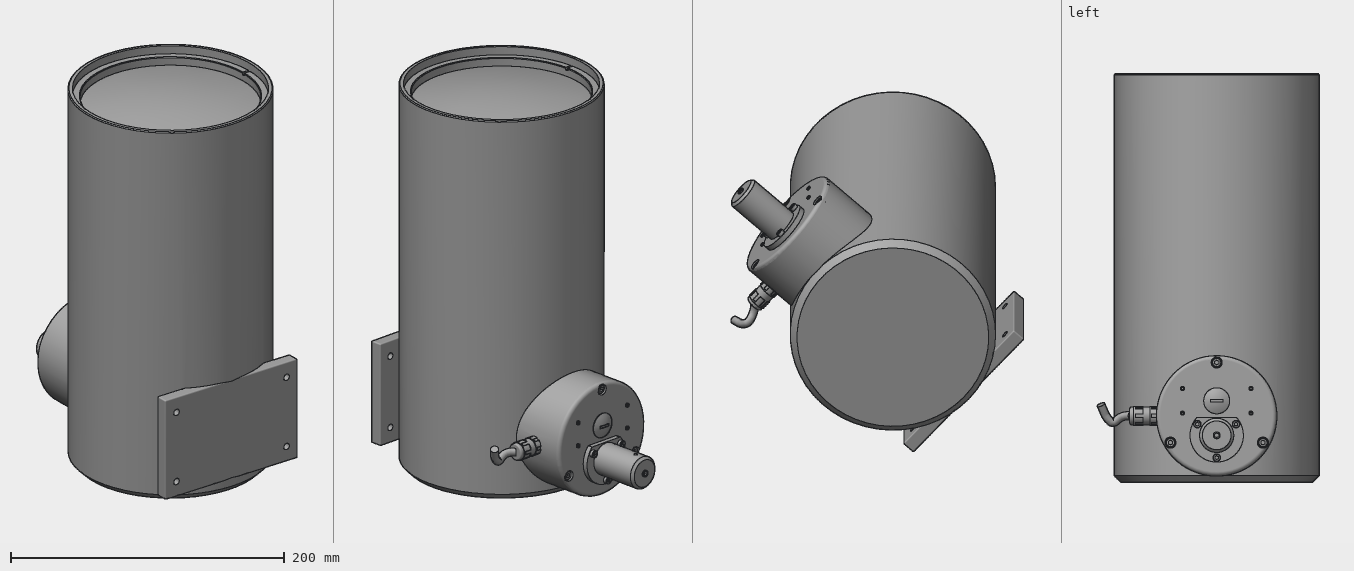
import cadquery as cq
import math

BLEND = 1.0
HEX_SIDES = 6

BODY_DIAMETER = 150.0
BODY_HEIGHT = 298.5
BODY_RADIUS = BODY_DIAMETER / 2
OVERALL_LENGTH = 225.74
BASE_CHAMFER = 5.0
RIM_CHAMFER = 0.8

RIM_BORE_DIAMETER = 143.19
RIM_BORE_DEPTH = 6.4
LENS_DIAMETER = 132.0
LENS_EDGE_DEPTH = 13.0
LENS_RISE = 7.0
RING_EDGE_CHAMFER = 0.6
RING_GAP_WIDTH = 2.0
RING_GAP_DEPTH = 2.0

PLATE_THICKNESS = 10.0
PLATE_WIDTH = 120.0
PLATE_HEIGHT = 80.0
PLATE_BOTTOM = 11.0
PLATE_EDGE_FILLET = 1.0
PLATE_HOLE_DIAMETER = 5.0
PLATE_HOLE_SPACING_Y = 100.0
PLATE_HOLE_SPACING_Z = 56.0

HOUSING_DIAMETER = 88.0
HOUSING_RADIUS = HOUSING_DIAMETER / 2
HOUSING_Z = 48.6
HOUSING_FACE_X = -105.5
HOUSING_FILLET = 3.0

COVER_SCREW_COUNT = 3
COVER_SCREW_CIRCLE_RADIUS = 39.0
COVER_BORE_DIAMETER = 8.0
COVER_BORE_DEPTH = 5.0
COVER_HEAD_DIAMETER = 7.0
COVER_HEAD_HEIGHT = 4.0
COVER_HEAD_CHAMFER = 0.5
COVER_SOCKET_FLATS = 3.0
COVER_SOCKET_DEPTH = 2.0

STUD_DIAMETER = 3.0
STUD_HEIGHT = 1.0
STUD_BORE_DIAMETER = 1.57
STUD_Y = 25.0
STUD_HEIGHTS_ABOVE_CENTRE = (2.0, 20.0)

BUTTON_DIAMETER = 19.0
BUTTON_HEIGHT = 3.0
BUTTON_RIM_HEIGHT = 0.5
BUTTON_RISE_ABOVE_CENTRE = 11.0
BUTTON_SLOT_LENGTH = 9.0
BUTTON_SLOT_WIDTH = 1.8
BUTTON_SLOT_DEPTH = 1.0

DRIVE_Z = HOUSING_Z - 14.2
FLANGE_RADIUS = 19.5
FLANGE_THICKNESS = 4.0
FLANGE_FLAT_HEIGHT = 13.2
BARREL_DIAMETER = 25.0
BARREL_END_X = -149.7
BARREL_CHAMFER = 2.0
BARREL_HOLE_DIAMETER = 2.46
BARREL_HOLE_X = -140.5
BARREL_HOLE_DEPTH = 3.0
PIN_DIAMETER = 5.0
PIN_END_X = BODY_RADIUS - OVERALL_LENGTH
PIN_SOCKET_FLATS = 3.0
PIN_SOCKET_DEPTH = 2.0

FLANGE_SCREW_COUNT = 3
FLANGE_SCREW_CIRCLE_RADIUS = 16.3
FLANGE_HEAD_DIAMETER = 5.5
FLANGE_HEAD_HEIGHT = 3.0
FLANGE_HEAD_CHAMFER = 0.29
FLANGE_SOCKET_FLATS = 2.46
FLANGE_SOCKET_DEPTH = 1.5

GLAND_X = -79.5
GLAND_NUT_DIAMETER = 14.0
GLAND_GROOVE_COUNT = 6
GLAND_GROOVE_WIDTH = 2.5
GLAND_GROOVE_DEPTH = 0.8
GLAND_COLLAR_LENGTH = 1.2
GLAND_SLEEVE_DIAMETER = 13.0
GLAND_LOWER_NUT_END = 48.7
GLAND_SLEEVE_END = 53.9
GLAND_UPPER_NUT_END = 60.6
GLAND_CAP_END = 63.5
GLAND_CAP_FILLET = 1.2
CABLE_DIAMETER = 6.0
CABLE_PATH = (
    (0.0, GLAND_CAP_END - BLEND, 0.0),
    (3.0, 66.5, 0.0),
    (4.9, 71.5, -2.0),
    (4.8, 76.0, -4.8),
    (3.6, 80.2, -1.0),
    (0.0, 84.55, 8.2),
)
CABLE_START_DIRECTION = (0.7, 0.7, 0.0)
CABLE_END_DIRECTION = (-0.35, 0.38, 0.85)


def x_cylinder(diameter, x_start, x_end, y=0.0, z=0.0):
    """Cylinder along X between two X positions."""
    plane = cq.Workplane("YZ", origin=(x_start, y, z))
    return plane.circle(diameter / 2).extrude(x_end - x_start)


def y_cylinder(diameter, y_start, y_end):
    """Cylinder along +Y on the gland axis."""
    plane = cq.Workplane("XZ", origin=(GLAND_X, y_start, HOUSING_Z))
    return plane.circle(diameter / 2).extrude(y_start - y_end)


def hex_socket(flats, x_start, depth, y, z):
    """Hexagonal cutter that enters a screw head along +X."""
    plane = cq.Workplane("YZ", origin=(x_start, y, z))
    return plane.polygon(HEX_SIDES, flats, circumscribed=True).extrude(depth)


def ring_points(count, radius, centre_z, start_angle):
    """Evenly spaced (y, z) places on a circle in a plane facing -X."""
    points = []
    for index in range(count):
        angle = math.radians(start_angle + index * 360.0 / count)
        points.append((radius * math.cos(angle), centre_z + radius * math.sin(angle)))
    return points


def make_body():
    body = cq.Workplane("XY").circle(BODY_RADIUS).extrude(BODY_HEIGHT)
    body = body.faces("<Z").chamfer(BASE_CHAMFER)
    return body.faces(">Z").chamfer(RIM_CHAMFER)


def make_top_recess():
    """Cutter for the rim bore and the retaining-ring bore, hollowed below by the convex lens."""
    ledge_z = BODY_HEIGHT - RIM_BORE_DEPTH
    edge_z = BODY_HEIGHT - LENS_EDGE_DEPTH
    lens_radius = LENS_DIAMETER / 2
    sphere_radius = (lens_radius**2 + LENS_RISE**2) / (2 * LENS_RISE)
    sphere_z = edge_z + LENS_RISE - sphere_radius
    lens_sphere = cq.Workplane("XY").sphere(sphere_radius).rotate((0, 0, 0), (1, 0, 0), 90)
    ledge_plane = cq.Workplane("XY", origin=(0, 0, ledge_z))
    rim_bore = ledge_plane.circle(RIM_BORE_DIAMETER / 2).extrude(RIM_BORE_DEPTH)
    ring_bore = ledge_plane.circle(lens_radius).extrude(edge_z - ledge_z)
    ring_edge = (
        ledge_plane.circle(lens_radius + RING_EDGE_CHAMFER)
        .workplane(offset=-RING_EDGE_CHAMFER)
        .circle(lens_radius)
        .loft(ruled=True)
    )
    recess = rim_bore.union(ring_bore).union(ring_edge)
    return recess.cut(lens_sphere.translate((0, 0, sphere_z)))


def make_ring_gaps():
    """The two gaps, at +Y and -Y, that split the retaining ring into halves."""
    ledge_z = BODY_HEIGHT - RIM_BORE_DEPTH
    gap_plane = cq.Workplane("XY", origin=(0, 0, ledge_z))
    bar = gap_plane.rect(RING_GAP_WIDTH, BODY_DIAMETER).extrude(-RING_GAP_DEPTH)
    ring = gap_plane.circle(RIM_BORE_DIAMETER / 2).circle(LENS_DIAMETER / 2).extrude(-RING_GAP_DEPTH)
    return bar.intersect(ring)


def make_plate():
    plate = cq.Workplane("XY").box(PLATE_THICKNESS, PLATE_WIDTH, PLATE_HEIGHT)
    plate = plate.edges().fillet(PLATE_EDGE_FILLET)
    holes = (
        cq.Workplane("YZ", origin=(-PLATE_THICKNESS, 0, 0))
        .rarray(PLATE_HOLE_SPACING_Y, PLATE_HOLE_SPACING_Z, 2, 2)
        .circle(PLATE_HOLE_DIAMETER / 2)
        .extrude(2 * PLATE_THICKNESS)
    )
    centre_x = BODY_RADIUS - PLATE_THICKNESS / 2
    return plate.cut(holes).translate((centre_x, 0, PLATE_BOTTOM + PLATE_HEIGHT / 2))


def make_housing():
    housing = x_cylinder(HOUSING_DIAMETER, HOUSING_FACE_X, 0, z=HOUSING_Z)
    return housing.faces("<X").fillet(HOUSING_FILLET)


def add_cover_screws(part):
    bore_floor = HOUSING_FACE_X + COVER_BORE_DEPTH
    head_top = bore_floor - COVER_HEAD_HEIGHT
    for y, z in ring_points(COVER_SCREW_COUNT, COVER_SCREW_CIRCLE_RADIUS, HOUSING_Z, 90):
        part = part.cut(x_cylinder(COVER_BORE_DIAMETER, HOUSING_FACE_X - BLEND, bore_floor, y, z))
        head = x_cylinder(COVER_HEAD_DIAMETER, head_top, bore_floor + BLEND, y, z)
        part = part.union(head.faces("<X").chamfer(COVER_HEAD_CHAMFER))
        part = part.cut(hex_socket(COVER_SOCKET_FLATS, head_top, COVER_SOCKET_DEPTH, y, z))
    return part


def add_studs(part):
    stud_top = HOUSING_FACE_X - STUD_HEIGHT
    for y in (-STUD_Y, STUD_Y):
        for rise in STUD_HEIGHTS_ABOVE_CENTRE:
            z = HOUSING_Z + rise
            part = part.union(x_cylinder(STUD_DIAMETER, stud_top, HOUSING_FACE_X + BLEND, y, z))
            part = part.cut(x_cylinder(STUD_BORE_DIAMETER, stud_top, HOUSING_FACE_X, y, z))
    return part


def make_button():
    """Short disc with a spherical front and a straight screwdriver slot."""
    radius = BUTTON_DIAMETER / 2
    dome_height = BUTTON_HEIGHT - BUTTON_RIM_HEIGHT
    sphere_radius = (radius**2 + dome_height**2) / (2 * dome_height)
    button_z = HOUSING_Z + BUTTON_RISE_ABOVE_CENTRE
    tip_x = HOUSING_FACE_X - BUTTON_HEIGHT
    disc = x_cylinder(BUTTON_DIAMETER, tip_x, HOUSING_FACE_X + BLEND, z=button_z)
    sphere = cq.Workplane("XY").sphere(sphere_radius).translate((tip_x + sphere_radius, 0, button_z))
    slot = (
        cq.Workplane("YZ", origin=(tip_x, 0, button_z))
        .rect(BUTTON_SLOT_LENGTH, BUTTON_SLOT_WIDTH)
        .extrude(BUTTON_SLOT_DEPTH)
    )
    return disc.intersect(sphere).cut(slot)


def make_drive():
    """Flange with a flat on top, barrel, end pin and flange screws."""
    flange_x = HOUSING_FACE_X - FLANGE_THICKNESS
    flange = x_cylinder(2 * FLANGE_RADIUS, flange_x, HOUSING_FACE_X + BLEND, z=DRIVE_Z)
    above_flat = cq.Workplane("XY", origin=(flange_x, 0, DRIVE_Z + FLANGE_FLAT_HEIGHT)).box(
        4 * FLANGE_THICKNESS, 2 * FLANGE_RADIUS, FLANGE_RADIUS, centered=(True, True, False)
    )
    flange = flange.cut(above_flat)

    barrel = x_cylinder(BARREL_DIAMETER, BARREL_END_X, flange_x + BLEND, z=DRIVE_Z)
    barrel = barrel.faces("<X").chamfer(BARREL_CHAMFER)
    barrel_hole = (
        cq.Workplane("XY", origin=(BARREL_HOLE_X, 0, DRIVE_Z + BARREL_DIAMETER / 2))
        .circle(BARREL_HOLE_DIAMETER / 2)
        .extrude(-BARREL_HOLE_DEPTH)
    )
    pin = x_cylinder(PIN_DIAMETER, PIN_END_X, BARREL_END_X + BLEND, z=DRIVE_Z)
    pin_socket = hex_socket(PIN_SOCKET_FLATS, PIN_END_X, PIN_SOCKET_DEPTH, 0, DRIVE_Z)
    drive = flange.union(barrel.cut(barrel_hole)).union(pin).cut(pin_socket)

    head_top = flange_x - FLANGE_HEAD_HEIGHT
    for y, z in ring_points(FLANGE_SCREW_COUNT, FLANGE_SCREW_CIRCLE_RADIUS, DRIVE_Z, -90):
        head = x_cylinder(FLANGE_HEAD_DIAMETER, head_top, flange_x + BLEND, y, z)
        head = head.faces("<X").chamfer(FLANGE_HEAD_CHAMFER)
        drive = drive.union(head)
        drive = drive.cut(hex_socket(FLANGE_SOCKET_FLATS, head_top, FLANGE_SOCKET_DEPTH, y, z))
    return drive


def gland_nut(y_start, y_end):
    """Round nut with lengthwise grip grooves that stop at a plain collar on its outer end."""
    nut = y_cylinder(GLAND_NUT_DIAMETER, y_start, y_end)
    groove_length = y_end - GLAND_COLLAR_LENGTH - y_start
    groove_angle = 360.0 / GLAND_GROOVE_COUNT
    for index in range(GLAND_GROOVE_COUNT):
        groove = cq.Workplane("XY").box(
            2 * GLAND_GROOVE_DEPTH, groove_length, GLAND_GROOVE_WIDTH, centered=(True, False, True)
        )
        groove = groove.translate((GLAND_X + GLAND_NUT_DIAMETER / 2, y_start, HOUSING_Z))
        axis_start = (GLAND_X, 0, HOUSING_Z)
        axis_end = (GLAND_X, 1, HOUSING_Z)
        nut = nut.cut(groove.rotate(axis_start, axis_end, index * groove_angle))
    return nut


def make_gland():
    root_y = HOUSING_RADIUS - 2 * BLEND
    cap = y_cylinder(GLAND_SLEEVE_DIAMETER, GLAND_UPPER_NUT_END - BLEND, GLAND_CAP_END)
    cap = cap.faces(">Y").fillet(GLAND_CAP_FILLET)
    sleeve = y_cylinder(GLAND_SLEEVE_DIAMETER, root_y, GLAND_UPPER_NUT_END)
    lower_nut = gland_nut(root_y, GLAND_LOWER_NUT_END)
    upper_nut = gland_nut(GLAND_SLEEVE_END, GLAND_UPPER_NUT_END)
    return sleeve.union(lower_nut).union(upper_nut).union(cap)


def make_cable():
    """Round cable that leaves the gland, dips and curls upward to a square-cut end."""
    path_points = [cq.Vector(GLAND_X + dx, y, HOUSING_Z + dz) for dx, y, dz in CABLE_PATH]
    start_direction = cq.Vector(*CABLE_START_DIRECTION)
    end_direction = cq.Vector(*CABLE_END_DIRECTION)
    spline = cq.Edge.makeSpline(path_points, tangents=[start_direction, end_direction])
    section = cq.Workplane(cq.Plane(path_points[0], normal=start_direction))
    return section.circle(CABLE_DIAMETER / 2).sweep(cq.Workplane(spline))


result = make_body().union(make_housing()).union(make_plate())
result = result.cut(make_top_recess()).cut(make_ring_gaps())
result = add_cover_screws(result)
result = add_studs(result)
result = result.union(make_button()).union(make_drive())
result = result.union(make_gland()).union(make_cable())